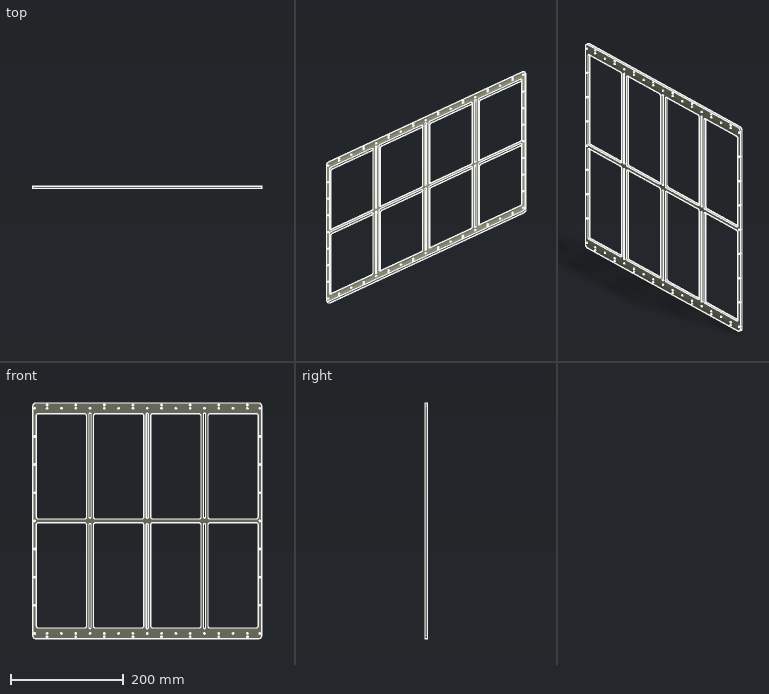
import cadquery as cq

width = 406.5
height = 419.0
thickness = 4.5
corner_radius = 6.3

columns = 4
side_rail = 6.5
end_rail = 19.5
vertical_rib = 13.0
cross_rib = 7.0
window_corner_radius = 3.0
window_width = (width - 2 * side_rail - (columns - 1) * vertical_rib) / columns
window_height = (height - 2 * end_rail - cross_rib) / 2
column_pitch = window_width + vertical_rib
window_centre_z = (cross_rib + window_height) / 2

slot_width = 3.0
slot_length = window_height
slot_centre_z = 98.0

hole_diameter = 2.4
hole_spaces_per_column = 4
rail_hole_pitch = column_pitch / hole_spaces_per_column
rail_holes_per_side = 7
outer_row_margin = 4.0
hole_row_gap = 6.0
outer_hole_z = height / 2 - outer_row_margin
rail_hole_z = outer_hole_z - hole_row_gap
side_hole_margin = 3.55
side_hole_x = width / 2 - side_hole_margin
side_hole_steps = 4
side_hole_pitch = rail_hole_z / side_hole_steps


def through_cutter(sketch):
    """Extrude a sketch of the XZ plane through the whole plate."""
    return sketch.extrude(thickness, both=True)


def plate():
    blank = cq.Workplane("XY").box(width, thickness, height)
    return blank.edges("|Y").fillet(corner_radius)


def windows():
    column_places = [(i - (columns - 1) / 2) * column_pitch for i in range(columns)]
    centres = [(x, z) for x in column_places for z in (-window_centre_z, window_centre_z)]
    sketch = cq.Workplane("XZ").pushPoints(centres).rect(window_width, window_height)
    return through_cutter(sketch).edges("|Y").fillet(window_corner_radius)


def slots():
    rib_places = [(i - columns / 2) * column_pitch for i in range(1, columns)]
    centres = [(x, z) for x in rib_places for z in (-slot_centre_z, slot_centre_z)]
    sketch = cq.Workplane("XZ").pushPoints(centres).slot2D(slot_length, slot_width, 90)
    return through_cutter(sketch)


def holes():
    centres = []
    for side in (-1, 1):
        for i in range(-rail_holes_per_side, rail_holes_per_side + 1):
            x = i * rail_hole_pitch
            centres.append((x, side * rail_hole_z))
            if i % 2 == 1:
                centres.append((x, side * outer_hole_z))
        for i in range(-side_hole_steps, side_hole_steps + 1):
            centres.append((side * side_hole_x, i * side_hole_pitch))
    sketch = cq.Workplane("XZ").pushPoints(centres).circle(hole_diameter / 2)
    return through_cutter(sketch)


result = plate().cut(windows()).cut(slots()).cut(holes())